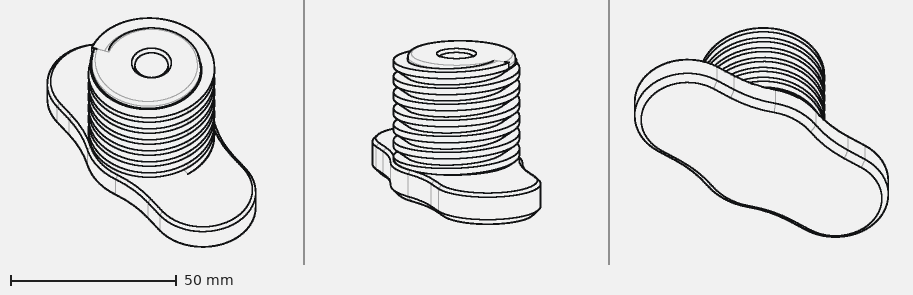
import cadquery as cq
import math

plate_length = 85.5
plate_width = 32.0
hub_diameter = 39.8
plate_height = 10.0
neck_radius = 35.9
bottom_chamfer = 2.0
top_chamfer = 1.0

stud_diameter = 38.0
root_diameter = 30.0
total_height = 43.0
groove_height = 3.0

rim_round = 1.0
rim_depth = 2.1
rim_start_radius = 18.4
rim_root_radius = 14.7
rim_spiral_sweep = 203.0

bore_diameter = 10.0
bore_mouth_diameter = 12.0

end_radius = plate_width / 2
end_center_x = plate_length / 2 - end_radius
hub_radius = hub_diameter / 2
stud_radius = stud_diameter / 2
root_radius = root_diameter / 2
stud_height = total_height - plate_height
thread_pitch = plate_height / 2
thread_turns = stud_height / thread_pitch
groove_end_angle = 360 * (thread_turns % 1)

overshoot = 0.4
cut_tolerance = 1e-3


def make_plate():
    """Rounded bar with a round hub blended in by four concave arcs."""
    neck_center_y = end_radius + neck_radius
    neck_center_x = math.sqrt((hub_radius + neck_radius) ** 2 - neck_center_y**2)
    hub_share = hub_radius / (hub_radius + neck_radius)
    hub_x = neck_center_x * hub_share
    hub_y = neck_center_y * hub_share
    half_angle = math.atan2(neck_center_x, neck_center_y) / 2
    neck_mid_x = neck_center_x - neck_radius * math.sin(half_angle)
    neck_mid_y = neck_center_y - neck_radius * math.cos(half_angle)

    outline = (
        cq.Workplane("XY")
        .moveTo(-end_center_x, end_radius)
        .lineTo(-neck_center_x, end_radius)
        .threePointArc((-neck_mid_x, neck_mid_y), (-hub_x, hub_y))
        .threePointArc((0, hub_radius), (hub_x, hub_y))
        .threePointArc((neck_mid_x, neck_mid_y), (neck_center_x, end_radius))
        .lineTo(end_center_x, end_radius)
        .threePointArc((plate_length / 2, 0), (end_center_x, -end_radius))
        .lineTo(neck_center_x, -end_radius)
        .threePointArc((neck_mid_x, -neck_mid_y), (hub_x, -hub_y))
        .threePointArc((0, -hub_radius), (-hub_x, -hub_y))
        .threePointArc((-neck_mid_x, -neck_mid_y), (-neck_center_x, -end_radius))
        .lineTo(-end_center_x, -end_radius)
        .threePointArc((-plate_length / 2, 0), (-end_center_x, end_radius))
        .close()
    )
    plate = outline.extrude(plate_height)
    return plate.faces("<Z").chamfer(bottom_chamfer).faces(">Z").chamfer(top_chamfer)


def make_thread_groove():
    """Buttress groove: flat floor, sloping ceiling, from one turn below the stud to its top."""
    outer_radius = stud_radius + overshoot
    ceiling_slope = groove_height / (stud_radius - root_radius)
    outer_height = ceiling_slope * (outer_radius - root_radius)
    path = cq.Wire.makeHelix(thread_pitch, stud_height + thread_pitch, root_radius)
    profile = cq.Workplane("XZ").polyline(
        [(root_radius, 0), (outer_radius, 0), (outer_radius, outer_height)]
    ).close()
    groove = profile.sweep(cq.Workplane(path), isFrenet=True)
    return groove.translate((0, 0, plate_height - thread_pitch))


def make_bore():
    """Blind bore down to the plate, with a 45 degree mouth."""
    mouth_depth = (bore_mouth_diameter - bore_diameter) / 2
    return (
        cq.Workplane("XZ")
        .moveTo(0, plate_height)
        .lineTo(bore_diameter / 2, plate_height)
        .lineTo(bore_diameter / 2, total_height - mouth_depth)
        .lineTo(bore_mouth_diameter / 2, total_height)
        .lineTo(0, total_height)
        .close()
        .revolve(360, (0, 0, 0), (0, 1, 0))
    )


def polar_point(radius, degrees):
    angle = math.radians(degrees)
    return (radius * math.cos(angle), radius * math.sin(angle))


def make_rim_core():
    """Rounded spiral disc that is left standing at the top of the stud."""
    spiral_end_angle = groove_end_angle + rim_spiral_sweep
    last_angle = groove_end_angle + 360
    spiral_steps = 8
    spiral = []
    for step in range(spiral_steps + 1):
        share = step / spiral_steps
        radius = rim_start_radius + (rim_root_radius - rim_start_radius) * share
        spiral.append(polar_point(radius, groove_end_angle + rim_spiral_sweep * share))
    core = (
        cq.Workplane("XY")
        .workplane(offset=total_height - rim_depth)
        .moveTo(*spiral[0])
        .spline(spiral[1:], includeCurrent=True)
        .threePointArc(
            polar_point(rim_root_radius, (spiral_end_angle + last_angle) / 2),
            polar_point(rim_root_radius, last_angle),
        )
        .close()
        .extrude(rim_depth)
    )
    return core.faces(">Z").edges("not %LINE").fillet(rim_round)


def make_rim_cutter():
    """Everything around the rim core that lies above the last turn of the groove floor."""
    inner_radius = rim_root_radius - 2 * rim_round
    outer_radius = stud_radius + overshoot
    band_height = thread_pitch - 0.01
    path = cq.Wire.makeHelix(thread_pitch, thread_pitch, root_radius)
    last_turn = (
        cq.Workplane("XZ")
        .polyline([
            (inner_radius, 0),
            (outer_radius, 0),
            (outer_radius, band_height),
            (inner_radius, band_height),
        ])
        .close()
        .sweep(cq.Workplane(path), isFrenet=True)
        .rotate((0, 0, 0), (0, 0, 1), groove_end_angle)
        .translate((0, 0, total_height - thread_pitch))
    )
    slab = (
        cq.Workplane("XY")
        .workplane(offset=total_height - rim_depth)
        .circle(outer_radius + overshoot)
        .extrude(rim_depth + overshoot)
    )
    return slab.cut(make_rim_core()).intersect(last_turn)


def make_stud():
    """Threaded cylinder with a rounded rim."""
    cylinder = (
        cq.Workplane("XY")
        .workplane(offset=plate_height)
        .circle(stud_radius)
        .extrude(stud_height)
    )
    threaded = cylinder.cut(make_thread_groove(), tol=cut_tolerance)
    return threaded.cut(make_rim_cutter(), tol=cut_tolerance)


result = make_plate().union(make_stud()).cut(make_bore())